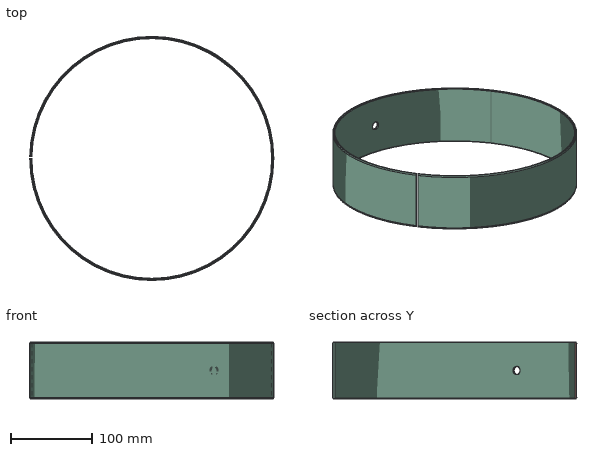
import cadquery as cq

outer_diameter = 300.0
height = 70.0
wall = 2.7
outer_bevel_height = 1.8
outer_bevel_depth = 0.72
inner_bevel = 1.0
split_width = 2.5
hole_diameter = 10.0
hole_angle = 59.0
hole_height = height / 2

outer_radius = outer_diameter / 2
inner_radius = outer_radius - wall
cut_depth = 4 * wall


def ring():
    flat_outer_radius = outer_radius - outer_bevel_depth
    flat_inner_radius = inner_radius + inner_bevel
    profile = [
        (inner_radius, inner_bevel),
        (flat_inner_radius, 0),
        (flat_outer_radius, 0),
        (outer_radius, outer_bevel_height),
        (outer_radius, height - outer_bevel_height),
        (flat_outer_radius, height),
        (flat_inner_radius, height),
        (inner_radius, height - inner_bevel),
    ]
    return cq.Workplane("XZ").polyline(profile).close().revolve(360, (0, 0, 0), (0, 1, 0))


def split():
    return (
        cq.Workplane("XY")
        .box(cut_depth, split_width, height, centered=(True, True, False))
        .translate((-outer_radius, split_width / 2, 0))
    )


def radial_hole():
    return (
        cq.Workplane("YZ", origin=(outer_radius - cut_depth / 2, 0, hole_height))
        .circle(hole_diameter / 2)
        .extrude(cut_depth)
        .rotate((0, 0, 0), (0, 0, 1), hole_angle)
    )


result = ring().cut(split()).cut(radial_hole())